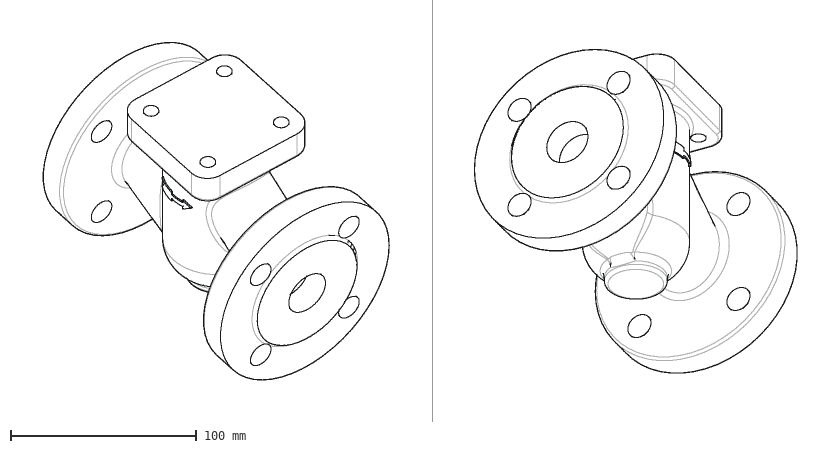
import cadquery as cq
import math

face_to_face = 160.0
flange_diameter = 115.0
flange_thickness = 16.0
flange_edge_round = 1.5
raised_face_height = 2.0
raised_face_diameter = 68.0
raised_face_base_diameter = raised_face_diameter + 2 * raised_face_height
flange_bolt_circle = 85.0
flange_bolt_hole = 14.0
flange_bolt_count = 4
bore_diameter = 25.0
flange_outer_x = face_to_face / 2 - raised_face_height
flange_inner_x = flange_outer_x - flange_thickness
bore_depth = 15.0

plate_top_z = 71.0
plate_thickness = 18.0
plate_bottom_z = plate_top_z - plate_thickness
plate_side = 74.5
plate_corner_radius = 11.0
plate_edge_round = 2.0
plate_hole_pitch = 50.0
plate_hole_diameter = 8.38

body_radius = 58.0 / 2
body_neck_round = 2.0
body_straight_bottom_z = -19.4
bowl_round_radius = 22.0
boss_radius = 34.0 / 2
boss_bottom_z = -46.0
boss_edge_round = 2.0
boss_root_round = 5.0

inlet_flange_end = (-flange_inner_x, -1.2, 38.5, 38.6)
inlet_body_end = (-15.0, -18.8, 39.0, 43.6)
outlet_flange_end = (flange_inner_x, 3.7, 41.0, 46.0)
outlet_body_end = (20.0, 27.4, 41.0, 49.8)
pipe_flange_round = 4.0
inlet_body_round = 5.5
outlet_body_round = 5.0
joint_tolerance = 0.01
pipe_middle_x = (body_radius + flange_inner_x) / 2

arrow_height = 0.8
arrow_centre_z = 28.0
arrow_tail_x = -13.0
arrow_notch_x = -10.8
arrow_tail_end_x = -0.8
arrow_head_x = 7.6
arrow_tip_x = 12.8
arrow_half_height = 3.3
arrow_shaft_half_height = 1.5


def make_body():
    """Revolved body: straight wall, bowl curving in at the bottom, and drain boss."""
    bowl_centre_r = body_radius - bowl_round_radius
    bowl_end_angle = math.acos((boss_radius - bowl_centre_r) / bowl_round_radius)

    def bowl_point(angle):
        return (
            bowl_centre_r + bowl_round_radius * math.cos(angle),
            body_straight_bottom_z - bowl_round_radius * math.sin(angle),
        )

    bowl_end = bowl_point(bowl_end_angle)
    body = (
        cq.Workplane("XZ")
        .moveTo(0, plate_bottom_z)
        .lineTo(body_radius, plate_bottom_z)
        .lineTo(body_radius, body_straight_bottom_z)
        .threePointArc(bowl_point(bowl_end_angle / 2), bowl_end)
        .lineTo(boss_radius, boss_bottom_z)
        .lineTo(0, boss_bottom_z)
        .close()
        .revolve(360, (0, 0, 0), (0, 1, 0))
    )
    boss_root = cq.selectors.NearestToPointSelector((0, 0, bowl_end[1]))
    body = body.edges(boss_root).fillet(boss_root_round)
    return body.faces("<Z").edges().fillet(boss_edge_round)


def make_plate():
    """Bonnet plate with rounded corners and a rounded lower edge."""
    plate = (
        cq.Workplane("XY", origin=(0, 0, plate_bottom_z))
        .rect(plate_side, plate_side)
        .extrude(plate_thickness)
        .edges("|Z")
        .fillet(plate_corner_radius)
    )
    return plate.faces("<Z").edges().fillet(plate_edge_round)


def pipe_section(x, centre_z, width, height):
    """Elliptical pipe section standing in a plane of constant X."""
    plane = cq.Plane(origin=(x, 0, centre_z), xDir=(0, 1, 0), normal=(1, 0, 0))
    return cq.Workplane(plane).ellipse(width / 2, height / 2).wires().val()


def make_pipe(flange_end, body_end):
    """Slanted pipe lofted straight between its two end sections."""
    sections = [pipe_section(*flange_end), pipe_section(*body_end)]
    return cq.Workplane(cq.Solid.makeLoft(sections, True))


def flange_plane(side, x):
    """Plane at distance x from the middle, facing outwards; side is -1 (inlet) or +1 (outlet)."""
    return cq.Plane(origin=(side * x, 0, 0), xDir=(0, 1, 0), normal=(side, 0, 0))


def make_flange(side):
    """Flange disc with a raised face that runs into the disc through a concave round."""
    disc = (
        cq.Workplane(flange_plane(side, flange_inner_x))
        .circle(flange_diameter / 2)
        .extrude(flange_thickness)
    )
    disc = disc.faces("<X" if side > 0 else ">X").edges().fillet(flange_edge_round)
    raised_face = (
        cq.Workplane(flange_plane(side, flange_outer_x))
        .circle(raised_face_base_diameter / 2)
        .extrude(raised_face_height)
    )
    concave_round = cq.Solid.makeTorus(
        raised_face_base_diameter / 2,
        raised_face_height,
        cq.Vector(side * face_to_face / 2, 0, 0),
        cq.Vector(1, 0, 0),
    )
    return disc.union(raised_face.cut(cq.Workplane(concave_round)))


def cut_flange_holes(part, side):
    """Four bolt holes through a flange and a blind bore in its raised face."""
    bolt_holes = (
        cq.Workplane(flange_plane(side, flange_inner_x))
        .polarArray(flange_bolt_circle / 2, 180 / flange_bolt_count, 360, flange_bolt_count)
        .circle(flange_bolt_hole / 2)
        .extrude(flange_thickness + raised_face_height)
    )
    bore = (
        cq.Workplane(flange_plane(side, face_to_face / 2))
        .circle(bore_diameter / 2)
        .extrude(-bore_depth)
    )
    return part.cut(bolt_holes).cut(bore)


def cut_plate_holes(part):
    """Four holes through the bonnet plate."""
    holes = (
        cq.Workplane("XY", origin=(0, 0, plate_bottom_z))
        .rect(plate_hole_pitch, plate_hole_pitch, forConstruction=True)
        .vertices()
        .circle(plate_hole_diameter / 2)
        .extrude(plate_thickness)
    )
    return part.cut(holes)


def make_arrow():
    """Arrow with a notched tail, pointing along +X, its face following the body wall."""
    outline = [
        (arrow_tail_x, arrow_half_height),
        (arrow_tail_end_x, arrow_half_height),
        (arrow_tail_end_x, arrow_shaft_half_height),
        (arrow_head_x, arrow_shaft_half_height),
        (arrow_head_x, arrow_half_height),
        (arrow_tip_x, 0),
        (arrow_head_x, -arrow_half_height),
        (arrow_head_x, -arrow_shaft_half_height),
        (arrow_tail_end_x, -arrow_shaft_half_height),
        (arrow_tail_end_x, -arrow_half_height),
        (arrow_tail_x, -arrow_half_height),
        (arrow_notch_x, 0),
    ]
    arrow_radius = body_radius + arrow_height
    prism = (
        cq.Workplane("XZ", origin=(0, -arrow_radius, arrow_centre_z))
        .polyline(outline)
        .close()
        .extrude(-arrow_radius / 2)
    )
    return prism.intersect(cq.Workplane("XY").circle(arrow_radius).extrude(plate_bottom_z))


def round_body_joint(part, side, radius):
    """Round the curved edges where one pipe runs into the body, leaving out the pipe seams."""
    joints = [
        edge
        for edge in part.edges("%BSPLINE").vals()
        if all(0 < side * end.x < pipe_middle_x for end in (edge.startPoint(), edge.endPoint()))
    ]
    return part.newObject(joints).fillet(radius)


def round_flange_joint(part, pipe_end):
    """Round the edge where a pipe meets the inner face of its flange."""
    joint_x = pipe_end[0]
    joints = [
        edge
        for edge in part.edges("%ELLIPSE").vals()
        if abs(edge.Center().x - joint_x) < joint_tolerance
    ]
    return part.newObject(joints).fillet(pipe_flange_round)


def round_neck(part):
    """Round the circular edge where the body meets the underside of the plate."""
    return part.edges(cq.selectors.NearestToPointSelector((0, 0, plate_bottom_z))).fillet(body_neck_round)


inlet = (-1, inlet_flange_end, inlet_body_end, inlet_body_round)
outlet = (1, outlet_flange_end, outlet_body_end, outlet_body_round)

result = make_body()
for side, flange_end, body_end, body_round in (inlet, outlet):
    result = result.union(make_pipe(flange_end, body_end))
    result = round_body_joint(result, side, body_round)

result = round_neck(result.union(make_plate()))

for side, flange_end, body_end, body_round in (inlet, outlet):
    result = result.union(make_flange(side))
    result = round_flange_joint(result, flange_end)
    result = cut_flange_holes(result, side)

result = cut_plate_holes(result)
result = result.union(make_arrow())